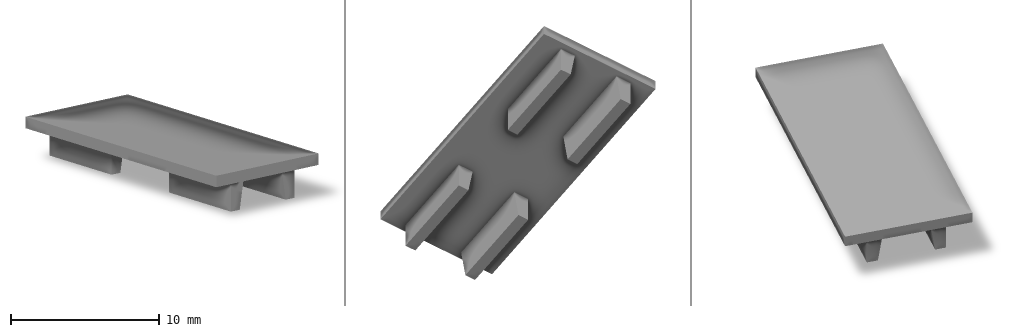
import cadquery as cq

plate_length = 20
plate_width = 9
plate_thickness = 0.8

total_height = 2.9
leg_height = total_height - plate_thickness
leg_length = 6.5
leg_end_inset = 0.5
leg_outer_span = 5.6
leg_root_thickness = 1.12
leg_tip_thickness = 0.78


def make_leg(x_start, side):
    """One tapered leg starting at x_start; side is +1 or -1 along Y."""
    outer_y = leg_outer_span / 2
    profile = [
        (side * outer_y, 0),
        (side * outer_y, -leg_height),
        (side * (outer_y - leg_tip_thickness), -leg_height),
        (side * (outer_y - leg_root_thickness), 0),
    ]
    return (
        cq.Workplane("YZ", origin=(x_start, 0, 0))
        .polyline(profile)
        .close()
        .extrude(leg_length)
    )


result = cq.Workplane("XY").box(
    plate_length, plate_width, plate_thickness, centered=(True, True, False)
)

left_leg_start = -plate_length / 2 + leg_end_inset
right_leg_start = plate_length / 2 - leg_end_inset - leg_length
for leg_start in (left_leg_start, right_leg_start):
    for leg_side in (-1, 1):
        result = result.union(make_leg(leg_start, leg_side))